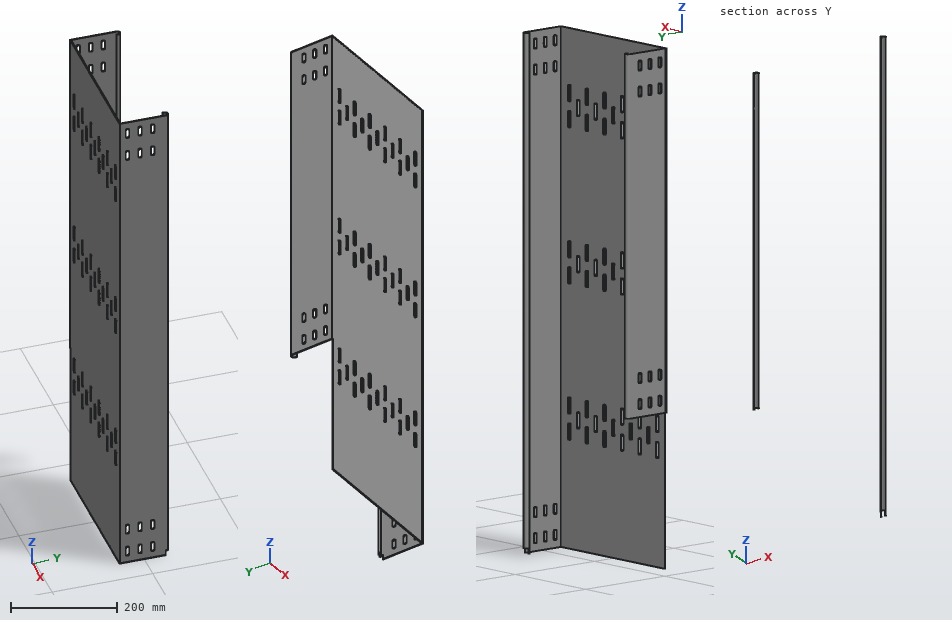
import cadquery as cq
import math

length = 1000.0
width = 300.0
height = 98.0
sheet = 2.0

rim_bend = 6.0
rim_width = 12.0
lip_depth = 9.0

short_wall_start = 300.0
floor_setback = 3.0
rim_setback = 10.0

slot_width = 7.0
floor_slot_length = 32.0
wall_slot_length = 20.0
slot_pitch = 50.0
slot_half_pitch = slot_pitch / 2
floor_group_heights = (250.0, 550.0, 850.0)
wide_row_count = 6
narrow_row_count = wide_row_count - 1
wall_slot_columns = 3
first_wall_slot_y = 16.0
wall_slot_pair_offsets = (slot_half_pitch, slot_half_pitch + slot_pitch)

half_width = width / 2


def block(x_range, y_range, z_range):
    """Axis-aligned box given by its limits."""
    (x0, x1), (y0, y1), (z0, z1) = x_range, y_range, z_range
    return cq.Workplane("XY").box(x1 - x0, y1 - y0, z1 - z0, centered=False).translate((x0, y0, z0))


def channel_solid(inset):
    """Channel envelope with square floor corners and rounded rims, moved inward by inset."""
    envelope = block(
        (inset - half_width, half_width - inset), (inset, height - inset), (0, length)
    )
    return envelope.edges("|Z and >Y").fillet(rim_bend - inset)


def tray_shell():
    """Bent sheet: floor at Y = 0, two walls, and inward rims with hanging lips."""
    shell = channel_solid(0).cut(channel_solid(sheet))
    mouth = half_width - rim_bend
    shell = shell.cut(block((-mouth, mouth), (height / 2, height), (0, length)))
    return shell.union(rim_lip()).union(rim_lip().mirror("YZ"))


def rim_lip():
    """Inner half of the rim: a quarter bend followed by a straight lip."""
    bend_center = (half_width - rim_bend, height - rim_bend)
    inner_radius = rim_bend - sheet
    diagonal = math.sqrt(0.5)
    lip_x = half_width - rim_width
    lip_end_y = height - lip_depth
    cx, cy = bend_center
    return (
        cq.Workplane("XY")
        .moveTo(cx, height)
        .threePointArc((cx - rim_bend * diagonal, cy + rim_bend * diagonal), (lip_x, cy))
        .lineTo(lip_x, lip_end_y)
        .lineTo(lip_x + sheet, lip_end_y)
        .lineTo(lip_x + sheet, cy)
        .threePointArc((cx - inner_radius * diagonal, cy + inner_radius * diagonal), (cx, height - sheet))
        .close()
        .extrude(length)
    )


def short_wall_cut():
    """Removes the -X wall and its rim below the start of that wall, trimming the floor edge slightly."""
    cut_heights = (0, short_wall_start)
    wall = block((-half_width, -half_width + floor_setback), (0, height), cut_heights)
    rim = block((-half_width, -half_width + rim_width), (height / 2, height), cut_heights)
    return wall.union(rim)


def rim_end_cut():
    """Removes the end of the +X rim, leaving only the flat wall."""
    return block((0, half_width), (height - rim_bend, height), (0, rim_setback))


def floor_slots():
    """Three groups of staggered slots through the floor."""
    points = []
    for group_z in floor_group_heights:
        for row_offset, count in (
            (-slot_half_pitch, wide_row_count),
            (0, narrow_row_count),
            (slot_half_pitch, wide_row_count),
        ):
            for i in range(count):
                points.append(((i - (count - 1) / 2) * slot_pitch, group_z + row_offset))
    return (
        cq.Workplane("XZ", origin=(0, sheet, 0))
        .pushPoints(points)
        .slot2D(floor_slot_length, slot_width, 90)
        .extrude(sheet)
    )


def wall_slots(wall_x, wall_start):
    """Slot grids through the wall at wall_x, near both of its ends."""
    points = []
    for offset in wall_slot_pair_offsets:
        for z in (wall_start + offset, length - offset):
            for column in range(wall_slot_columns):
                points.append((first_wall_slot_y + column * slot_half_pitch, z))
    return (
        cq.Workplane("YZ", origin=(wall_x, 0, 0))
        .pushPoints(points)
        .slot2D(wall_slot_length, slot_width, 90)
        .extrude(2 * sheet, both=True)
    )


result = (
    tray_shell()
    .cut(short_wall_cut())
    .cut(rim_end_cut())
    .cut(floor_slots())
    .cut(wall_slots(-half_width, short_wall_start))
    .cut(wall_slots(half_width, 0))
)